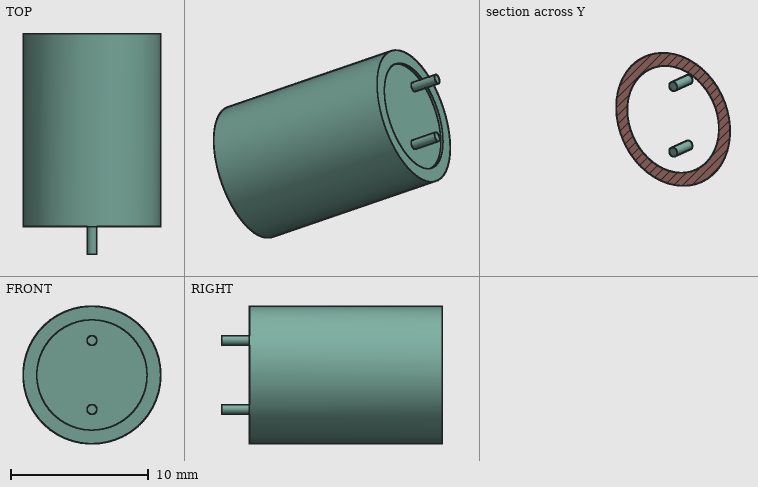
import cadquery as cq

can_diameter = 10.0
can_length = 14.0
total_length = 16.0
recess_diameter = 8.0
recess_depth = 0.2
lead_diameter = 0.7

lead_length = total_length - can_length
lead_spacing = can_diameter / 2


def cylinder_along_y(diameter, y_start, length, z=0.0):
    """Cylinder from y_start toward +Y, with its axis at height z."""
    return (
        cq.Workplane("XZ", origin=(0, y_start, z))
        .circle(diameter / 2)
        .extrude(-length)
    )


def make_can():
    """Capacitor can with a shallow round recess in its lead end, at y = 0."""
    can = cylinder_along_y(can_diameter, 0, can_length)
    recess = cylinder_along_y(recess_diameter, 0, recess_depth)
    return can.cut(recess)


def make_lead(z):
    """Straight lead that ends level with the rim, clear of the recess floor."""
    return cylinder_along_y(lead_diameter, -lead_length, lead_length, z)


can = make_can()
leads = [make_lead(side * lead_spacing / 2) for side in (-1, 1)]

result = cq.Compound.makeCompound([can.val(), *[lead.val() for lead in leads]])